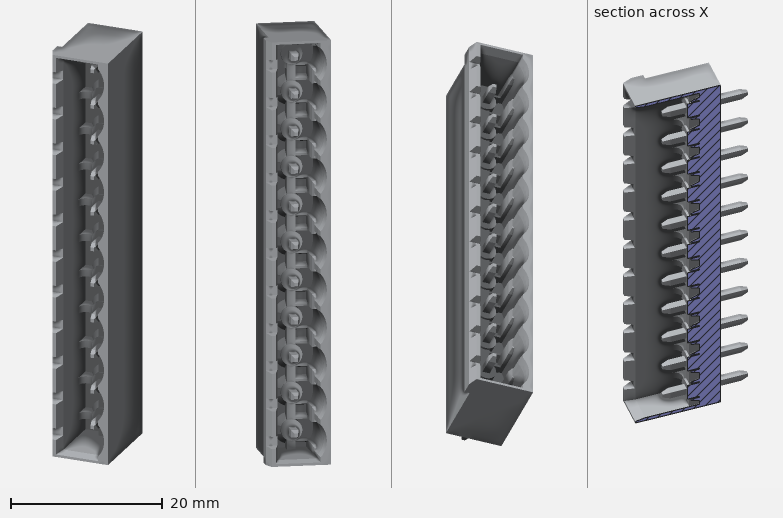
import cadquery as cq
import math

WIDTH = 8.5
DEPTH = 12.0
LENGTH = 57.28
POLES = 11
PITCH = 5.08

LIP_HEIGHT = 0.7
LIP_DEPTH = 3.05
LIP_CHAMFER_X = 0.55
LIP_CHAMFER_Y = 1.35

CAVITY_DEPTH = 9.0
CAVITY_LEFT = 1.57
CAVITY_RIGHT = 7.0
END_WALL = 0.6
FLARE_DEPTH = 1.4
FLARE_LEFT = 0.47
FLARE_RIGHT = 0.1
FLARE_END = 0.25
SCALLOP_RADIUS = 3.2
SCALLOP_FLARE = 0.14

NOTCH_DEPTH = 1.3
NOTCH_HALF_FRONT = 0.83
NOTCH_HALF_FLOOR = 0.65

GUIDE_FACE = 6.85
GUIDE_FACE_FRONT = 7.0
GUIDE_ROOT = 8.0
GUIDE_FRONT = 3.8
GUIDE_FULL = 4.9
GUIDE_TO_POLE_FRONT = 1.75
GUIDE_TO_POLE = 1.5

POLE_X = LIP_HEIGHT + (WIDTH - LIP_HEIGHT) / 2
PEDESTAL_TOP = 7.8
SHOULDER_RADIUS = 2.15
COLLAR_RADIUS = 1.43
COLLAR_FRONT = 7.3
FLOOR_RIB_FRONT = 7.6
CROSS_RIB_HALF = 0.6
WEB_HALF = 0.5
WEB_FILLET = 1.05
RAIL_INNER = 1.37
RAIL_OUTER = 1.68
RAIL_BASE = 2.03

PIN_HALF = 0.5
PIN_TIP_HALF = 0.25
PIN_TAPER = 1.0
PIN_FRONT = 4.0
PIN_BACK = 16.0

pole_heights = [LENGTH / 2 + (i - (POLES - 1) / 2) * PITCH for i in range(POLES)]
between_heights = [pole_heights[0] - PITCH / 2] + [z + PITCH / 2 for z in pole_heights]
cross_left = POLE_X - CROSS_RIB_HALF
cross_right = POLE_X + CROSS_RIB_HALF


def box(x_range, y_range, z_range):
    """Axis-aligned block between the given limits."""
    (x0, x1), (y0, y1), (z0, z1) = x_range, y_range, z_range
    return cq.Workplane("XY").box(x1 - x0, y1 - y0, z1 - z0, centered=False).translate((x0, y0, z0))


def rectangle(x_range, z_range, y):
    """Rectangular wire in the plane at the given Y."""
    (x0, x1), (z0, z1) = x_range, z_range
    corners = [cq.Vector(x0, y, z0), cq.Vector(x1, y, z0), cq.Vector(x1, y, z1), cq.Vector(x0, y, z1)]
    return cq.Wire.makePolygon(corners, close=True)


def tapered_box(front, back):
    """Straight-sided loft between two rectangular wires."""
    return cq.Workplane(cq.Solid.makeLoft([front, back], True))


def around(center, half):
    """Limits of a span centered on the given value."""
    return (center - half, center + half)


def round_post(z, front_radius, back_radius, y_range):
    """Cylinder or cone along Y, centered on the pole at height z."""
    y0, y1 = y_range
    start = cq.Vector(POLE_X, y0, z)
    axis = cq.Vector(0, 1, 0)
    if front_radius == back_radius:
        return cq.Workplane(cq.Solid.makeCylinder(front_radius, y1 - y0, start, axis))
    return cq.Workplane(cq.Solid.makeCone(front_radius, back_radius, y1 - y0, start, axis))


def housing_block():
    """Solid housing with the chamfered latching lip."""
    outline = [
        (LIP_CHAMFER_X, 0),
        (WIDTH, 0),
        (WIDTH, DEPTH),
        (LIP_HEIGHT, DEPTH),
        (LIP_HEIGHT, LIP_DEPTH),
        (0, LIP_DEPTH),
        (0, LIP_CHAMFER_Y),
    ]
    return cq.Workplane("XY").polyline(outline).close().extrude(LENGTH)


def cavity():
    """Plug opening: a box with a flared mouth and one round scallop per pole on its +X side."""
    x_range = (CAVITY_LEFT, CAVITY_RIGHT)
    z_range = (END_WALL, LENGTH - END_WALL)
    mouth_x = (CAVITY_LEFT - FLARE_LEFT, CAVITY_RIGHT + FLARE_RIGHT)
    mouth_z = (END_WALL - FLARE_END, LENGTH - END_WALL + FLARE_END)
    space = box(x_range, (0, CAVITY_DEPTH), z_range)
    space = space.union(tapered_box(rectangle(mouth_x, mouth_z, 0), rectangle(x_range, z_range, FLARE_DEPTH)))
    right_half = box((POLE_X, WIDTH), (0, CAVITY_DEPTH), z_range)
    for z in pole_heights:
        scallop = round_post(z, SCALLOP_RADIUS, SCALLOP_RADIUS, (0, CAVITY_DEPTH))
        flare = round_post(z, SCALLOP_RADIUS + SCALLOP_FLARE, SCALLOP_RADIUS, (0, FLARE_DEPTH))
        space = space.union(scallop.union(flare).intersect(right_half))
    return space


def lip_notch(z):
    """Notch across the lip, narrowing from the mating face to its floor."""
    x_range = (0, CAVITY_LEFT)
    front = rectangle(x_range, around(z, NOTCH_HALF_FRONT), 0)
    floor = rectangle(x_range, around(z, NOTCH_HALF_FLOOR), NOTCH_DEPTH)
    return tapered_box(front, floor)


def guide_rib(z):
    """Rib on the +X wall, with a wedge-shaped front end, limited to the cavity length."""
    x_range = (GUIDE_FACE, GUIDE_ROOT)
    full = around(z, PITCH / 2 - GUIDE_TO_POLE)
    front_x = (GUIDE_FACE_FRONT, GUIDE_ROOT)
    front = rectangle(front_x, around(z, PITCH / 2 - GUIDE_TO_POLE_FRONT), GUIDE_FRONT)
    wedge = tapered_box(front, rectangle(x_range, full, GUIDE_FULL))
    rib = wedge.union(box(x_range, (GUIDE_FULL, CAVITY_DEPTH), full))
    return rib.intersect(box((0, WIDTH), (0, DEPTH), (END_WALL, LENGTH - END_WALL)))


def shoulder(z, top_radius):
    """Half-round shoulder on the -X side of the pole."""
    post = round_post(z, top_radius, SHOULDER_RADIUS, (PEDESTAL_TOP, CAVITY_DEPTH))
    return post.intersect(box((0, POLE_X), (0, DEPTH), (0, LENGTH)))


def web(z):
    """Web from the -X cavity wall to the collar, with a concave fillet against the wall."""
    fillet_end = CAVITY_LEFT + WEB_FILLET
    diagonal = WEB_FILLET * math.sin(math.radians(45))
    arc_middle = (fillet_end - diagonal, FLOOR_RIB_FRONT - WEB_FILLET + diagonal)
    profile = (
        cq.Workplane("XY")
        .moveTo(CAVITY_LEFT, CAVITY_DEPTH)
        .lineTo(CAVITY_LEFT, FLOOR_RIB_FRONT - WEB_FILLET)
        .threePointArc(arc_middle, (fillet_end, FLOOR_RIB_FRONT))
        .lineTo(POLE_X, FLOOR_RIB_FRONT)
        .lineTo(POLE_X, CAVITY_DEPTH)
        .close()
    )
    return profile.extrude(2 * WEB_HALF).translate((0, 0, z - WEB_HALF))


def rails(z):
    """Pair of rails beside the pole on its +X side, sloping outward down to the floor."""
    pair = cq.Workplane("XY")
    for side in (-1, 1):
        outline = [
            (z + side * RAIL_INNER, PEDESTAL_TOP),
            (z + side * RAIL_OUTER, PEDESTAL_TOP),
            (z + side * RAIL_BASE, CAVITY_DEPTH),
            (z + side * RAIL_INNER, CAVITY_DEPTH),
        ]
        points = [cq.Vector(cross_right, y, height) for height, y in outline]
        face = cq.Face.makeFromWires(cq.Wire.makePolygon(points, close=True))
        run = cq.Vector(GUIDE_FACE - cross_right, 0, 0)
        pair = pair.add(cq.Solid.extrudeLinear(face, run))
    return pair.combine()


def pin(z):
    """Square pin through the cavity floor, tapered at both ends."""
    wide = (around(POLE_X, PIN_HALF), around(z, PIN_HALF))
    tip = (around(POLE_X, PIN_TIP_HALF), around(z, PIN_TIP_HALF))
    shank_front = PIN_FRONT + PIN_TAPER
    shank_back = PIN_BACK - PIN_TAPER
    shank = box(wide[0], (shank_front, shank_back), wide[1])
    front_tip = tapered_box(rectangle(*tip, PIN_FRONT), rectangle(*wide, shank_front))
    back_tip = tapered_box(rectangle(*wide, shank_back), rectangle(*tip, PIN_BACK))
    return shank.union(front_tip).union(back_tip)


housing = housing_block().cut(cavity())

for z in pole_heights:
    housing = housing.cut(lip_notch(z))

cross_rib = box((cross_left, cross_right), (FLOOR_RIB_FRONT, CAVITY_DEPTH), (END_WALL, LENGTH - END_WALL))
added = [cross_rib] + [guide_rib(z) for z in between_heights]

for z in pole_heights:
    shoulder_top = SHOULDER_RADIUS if z == pole_heights[-1] else COLLAR_RADIUS
    collar = round_post(z, COLLAR_RADIUS, COLLAR_RADIUS, (COLLAR_FRONT, CAVITY_DEPTH))
    added += [shoulder(z, shoulder_top), web(z), rails(z), collar, pin(z)]

added_solids = [solid for feature in added for solid in feature.solids().vals()]
result = cq.Workplane(housing.val().fuse(*added_solids))